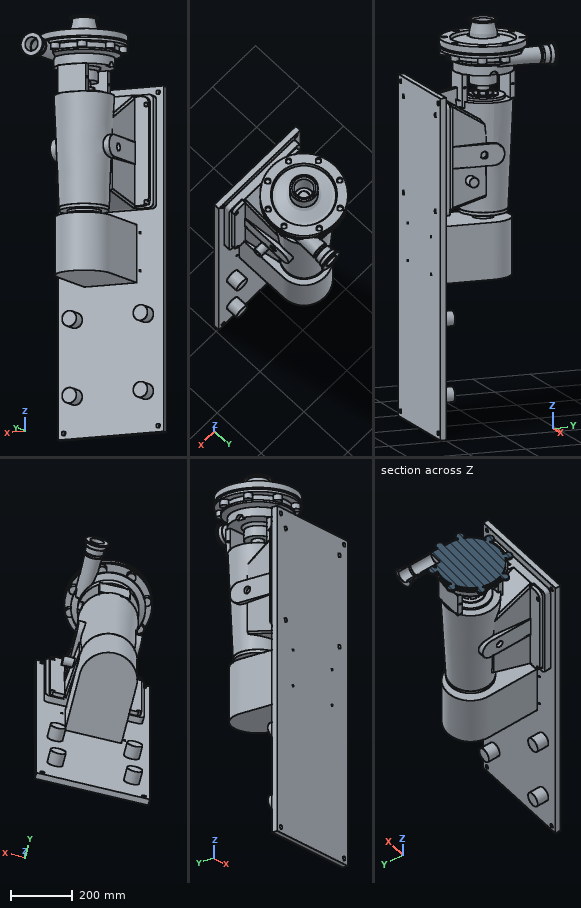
import cadquery as cq
import math


plate_width = 381.0
plate_length = 1143.0
plate_thickness = 22.0
plate_back = -223.0
plate_face = plate_back + plate_thickness
corner_hole_inset = 20.0
corner_hole_radius = 7.0
guard_screw_radius = 3.0
guard_screw_x = 105.0
guard_screw_heights = (538.0, 664.0)
stud_radius = 26.0
stud_length = 45.0
stud_x = 128.0
stud_heights = (137.0, 390.0)

guard_radius = 95.0
guard_bottom = 499.0
guard_top = 690.0

pump_top = 1352.0
cover_top = 1290.0
cover_bottom = 1266.0
casing_flange_top = 1261.0
casing_flange_bottom = 1251.0
casing_bottom = 1231.0
back_ring_bottom = 1225.0
adapter_top = 1215.0
adapter_bottom = 1183.0
seal_box_bottom = 1137.0
hub_top = 1116.0
frame_top = 1090.0
frame_bottom = 711.0
bearing_cover_top = frame_top + 8.0
drive_collar_bottom = frame_bottom - 8.0
frame_flange_top = 733.0
end_cover_top = 722.0

flange_radius = 143.0
flange_gap_radius = 142.0
casing_radius = 115.0
back_ring_radius = 122.0
adapter_radius = 100.0
seal_box_radius = 46.0
seal_box_flare = 8.0
seal_box_flare_height = 11.0
shaft_radius = 22.0
frame_top_radius = 99.0
frame_bottom_radius = 82.0
end_cover_radius = 81.0
bearing_cover_radius = 72.0
seal_ring_radius = 49.0
drive_collar_radius = 55.0
drive_shaft_radius = 35.0

hub_radius = 35.0
hub_bottom = 1103.0
hub_slot_count = 8
hub_slot_width = 8.0
hub_slot_depth = 7.0

inlet_radius = 46.0
inlet_throat_radius = 39.0
inlet_bore_radius = 32.0
inlet_mouth_radius = 39.0
inlet_mouth_depth = 5.0
inlet_rim_thickness = 4.0
inlet_throat_top = pump_top - 7.0
inlet_throat_bottom = pump_top - 14.0
inlet_cone_bottom = pump_top - 42.0
inlet_bore_depth = 88.0
impeller_nut_radius = 19.0
impeller_nut_height = 8.0
neck_flare_radius = 57.0
dish_outer_radius = 108.0
dish_floor_radius = 93.0
dish_depth = 11.0
dish_wall_slope = 4.0
neck_flare_height = 5.0
neck_flare_drop = 1.0

bolt_circle_radius = 127.0
bolt_angles = (13.5, 67.5, 112.5, 157.5, 202.5, 247.5, 292.5, 337.5)
bolt_hole_radius = 10.0
bolt_hole_depth = 11.0
bolt_boss_radius = 15.0

discharge_x = 89.0
discharge_z = 1237.0
discharge_start = 14.0
discharge_taper_start = 116.0
discharge_pipe_end = 160.0
discharge_groove_end = 166.0
discharge_sleeve_start = 170.0
discharge_collar_start = 190.0
discharge_rim_start = 205.0
discharge_end = 211.0
discharge_pipe_radius = 28.0
discharge_pipe_end_radius = 30.0
discharge_groove_radius = 26.0
discharge_sleeve_radius = 31.0
discharge_collar_radius = 34.0
discharge_rim_radius = 39.0
discharge_bore_radius = 23.0
discharge_bore_depth = 135.0

plug_y = -82.0
plug_z = 838.0
plug_radius = 16.0
plug_outer_x = 132.0
plug_length = 47.0

strut_width = 101.0
strut_outer_y = 93.0
strut_thickness = 19.0
strut_extension = 20.0
strut_hole_radius = 3.0
strut_hole_z = 1138.0
adapter_notch_radius = 14.0
adapter_notch_depth = 14.0

foot_width = 330.0
foot_bottom = 739.0
foot_top = 1114.0
foot_upper_face = -178.0
foot_corner_radius = 16.0
pedestal_base_y = -172.0
pedestal_end_y = -25.0
pedestal_upper_end = 1025.0
pedestal_lower_end = 776.0
pedestal_half_width_base = 105.0
pedestal_half_width_axis = 88.0
pedestal_chamfer = 7.0
pad_inner_x = 95.0
pad_outer_x = 154.0
pad_face = -165.0
pad_end_inset = 7.0
pad_corner_radius = 25.0
mount_hole_x = 145.0
mount_hole_heights = (757.0, 1078.0)
mount_hole_radius = 7.0
gusset_thickness = 16.0
gusset_top = 1130.0

lug_outer_x = 107.0
lug_thickness = 27.0
lug_z = 920.0
lug_height = 73.0
lug_tip_y = 34.0
lug_hole_y = -36.0
lug_hole_radius = 12.0


def revolve_about_z(points):
    """Turn a closed (radius, height) outline about the pump axis."""
    return cq.Workplane("XZ").polyline(points).close().revolve(360, (0, 0, 0), (0, 1, 0))


def cylinder_along_y(x, z, radius, start_y, length):
    """Cylinder that starts at start_y and runs towards +Y."""
    return (
        cq.Workplane("XZ", origin=(0, start_y, 0))
        .center(x, z)
        .circle(radius)
        .extrude(-length)
    )


def box_between(x_range, y_range, z_range):
    """Axis-aligned box given by its limits."""
    return cq.Workplane("XY").box(
        x_range[1] - x_range[0],
        y_range[1] - y_range[0],
        z_range[1] - z_range[0],
        centered=False,
    ).translate((x_range[0], y_range[0], z_range[0]))


def make_base():
    """Base plate with the coupling guard and the four studs."""
    half_width = plate_width / 2
    base = box_between((-half_width, half_width), (plate_back, plate_face), (0, plate_length))

    guard = (
        cq.Workplane("XY", origin=(0, 0, guard_bottom))
        .moveTo(-guard_radius, plate_face)
        .lineTo(-guard_radius, 0)
        .threePointArc((0, guard_radius), (guard_radius, 0))
        .lineTo(guard_radius, plate_face)
        .close()
        .extrude(guard_top - guard_bottom)
    )
    base = base.union(guard)

    for side in (-1, 1):
        for height in stud_heights:
            base = base.union(cylinder_along_y(side * stud_x, height, stud_radius, plate_face, stud_length))

    corner_x = half_width - corner_hole_inset
    corner_heights = (corner_hole_inset, plate_length - corner_hole_inset)
    hole_groups = (
        (corner_x, corner_heights, corner_hole_radius),
        (mount_hole_x, mount_hole_heights, mount_hole_radius),
        (guard_screw_x, guard_screw_heights, guard_screw_radius),
    )
    for hole_x, heights, radius in hole_groups:
        for side in (-1, 1):
            for height in heights:
                base = base.cut(cylinder_along_y(side * hole_x, height, radius, plate_back, plate_thickness))
    return base


def make_wet_end():
    """Inlet, dished cover, casing, adapter, seal box and shaft, turned about the axis."""
    dish_floor = cover_top - dish_depth
    return revolve_about_z([
        (0, hub_top),
        (0, pump_top - inlet_bore_depth + impeller_nut_height),
        (impeller_nut_radius, pump_top - inlet_bore_depth + impeller_nut_height),
        (impeller_nut_radius, pump_top - inlet_bore_depth),
        (inlet_bore_radius, pump_top - inlet_bore_depth),
        (inlet_bore_radius, pump_top - inlet_mouth_depth),
        (inlet_mouth_radius, pump_top),
        (inlet_radius, pump_top),
        (inlet_radius, pump_top - inlet_rim_thickness),
        (inlet_throat_radius, inlet_throat_top),
        (inlet_throat_radius, inlet_throat_bottom),
        (inlet_radius, inlet_cone_bottom),
        (inlet_radius, cover_top + neck_flare_height),
        (neck_flare_radius, cover_top - neck_flare_drop),
        (dish_floor_radius, dish_floor),
        (dish_outer_radius - dish_wall_slope, dish_floor),
        (dish_outer_radius, cover_top),
        (flange_radius, cover_top),
        (flange_radius, cover_bottom),
        (flange_gap_radius, cover_bottom),
        (flange_gap_radius, casing_flange_top),
        (flange_radius, casing_flange_top),
        (flange_radius, casing_flange_bottom),
        (casing_radius, casing_flange_bottom),
        (casing_radius, casing_bottom),
        (back_ring_radius, casing_bottom),
        (back_ring_radius, back_ring_bottom),
        (adapter_radius, adapter_top),
        (adapter_radius, adapter_bottom),
        (seal_box_radius + seal_box_flare, adapter_bottom),
        (seal_box_radius, adapter_bottom - seal_box_flare_height),
        (seal_box_radius, seal_box_bottom),
        (shaft_radius, seal_box_bottom),
        (shaft_radius, hub_top),
    ])


def make_bearing_frame():
    """Tapered bearing frame with its stepped end covers."""
    return revolve_about_z([
        (0, guard_top),
        (0, hub_top),
        (hub_radius, hub_top),
        (hub_radius, hub_bottom),
        (seal_ring_radius, hub_bottom),
        (seal_ring_radius, bearing_cover_top),
        (bearing_cover_radius, bearing_cover_top),
        (bearing_cover_radius, frame_top),
        (frame_top_radius, frame_top),
        (frame_bottom_radius, frame_flange_top),
        (frame_bottom_radius, end_cover_top),
        (end_cover_radius, end_cover_top),
        (end_cover_radius, frame_bottom),
        (drive_collar_radius, frame_bottom),
        (drive_collar_radius, drive_collar_bottom),
        (drive_shaft_radius, drive_collar_bottom),
        (drive_shaft_radius, guard_top),
    ])


def make_hub_slot(angle):
    """Slot in the rim of the shaft nut."""
    slot = box_between(
        (hub_radius - hub_slot_depth, hub_radius + hub_slot_depth),
        (-hub_slot_width / 2, hub_slot_width / 2),
        (hub_bottom, hub_top),
    )
    return slot.rotate((0, 0, 0), (0, 0, 1), angle)


def make_discharge():
    """Discharge pipe with its coupling and end flange, turned about a line along +Y."""
    points = [
        (0, discharge_start),
        (discharge_pipe_radius, discharge_start),
        (discharge_pipe_radius, discharge_taper_start),
        (discharge_pipe_end_radius, discharge_pipe_end),
        (discharge_groove_radius, discharge_pipe_end),
        (discharge_groove_radius, discharge_groove_end),
        (discharge_sleeve_radius, discharge_sleeve_start),
        (discharge_sleeve_radius, discharge_collar_start),
        (discharge_collar_radius, discharge_collar_start),
        (discharge_collar_radius, discharge_rim_start),
        (discharge_rim_radius, discharge_rim_start),
        (discharge_rim_radius, discharge_end),
        (0, discharge_end),
    ]
    pipe = cq.Workplane("XY").polyline(points).close().revolve(360, (0, 0, 0), (0, 1, 0))
    return pipe.translate((discharge_x, 0, discharge_z))


def make_bolt_boss(angle):
    """Round nut below the casing flange."""
    x = bolt_circle_radius * math.cos(math.radians(angle))
    y = bolt_circle_radius * math.sin(math.radians(angle))
    return (
        cq.Workplane("XY", origin=(x, y, casing_bottom))
        .circle(bolt_boss_radius)
        .extrude(casing_flange_bottom - casing_bottom)
    )


def make_bolt_hole(angle):
    """Bolt recess in the top of the cover."""
    x = bolt_circle_radius * math.cos(math.radians(angle))
    y = bolt_circle_radius * math.sin(math.radians(angle))
    return (
        cq.Workplane("XY", origin=(x, y, cover_top - bolt_hole_depth))
        .circle(bolt_hole_radius)
        .extrude(bolt_hole_depth)
    )


def make_strut(side):
    """Flat strut, drilled along X, on the +Y (side = 1) or -Y (side = -1) side of the frame."""
    half = strut_width / 2
    y_limits = sorted((side * (strut_outer_y - strut_thickness), side * strut_outer_y))
    strut_foot = frame_top if side > 0 else frame_top - strut_extension
    strut = box_between((-half, half), y_limits, (strut_foot, adapter_bottom))
    hole = (
        cq.Workplane("YZ", origin=(-half, 0, 0))
        .center(side * (strut_outer_y - strut_thickness / 2), strut_hole_z)
        .circle(strut_hole_radius)
        .extrude(strut_width)
    )
    return strut.cut(hole)


def make_pedestal():
    """Drafted pedestal with sloping ends that joins the frame to the foot."""
    section = (
        cq.Workplane("XY", origin=(0, 0, foot_bottom))
        .polyline([
            (-pedestal_half_width_base, pedestal_base_y),
            (pedestal_half_width_base, pedestal_base_y),
            (pedestal_half_width_axis, 0),
            (-pedestal_half_width_axis, 0),
        ])
        .close()
        .extrude(foot_top - foot_bottom)
    )
    side_outline = (
        cq.Workplane("YZ", origin=(-plate_width / 2, 0, 0))
        .polyline([
            (pedestal_base_y, foot_bottom),
            (pedestal_base_y, foot_top),
            (pedestal_end_y, pedestal_upper_end),
            (pedestal_end_y, pedestal_lower_end),
        ])
        .close()
        .extrude(plate_width)
    )
    pedestal = section.intersect(side_outline)
    return pedestal.faces(">X or <X").edges("not |Z").chamfer(pedestal_chamfer)


def make_foot():
    """Mounting slab with a raised pad along each side."""
    half = foot_width / 2
    foot = box_between((-half, half), (plate_face, foot_upper_face), (foot_bottom, foot_top))
    foot = foot.edges("|Y").fillet(foot_corner_radius)
    center = box_between(
        (-pedestal_half_width_base, pedestal_half_width_base),
        (plate_face, pedestal_base_y),
        (foot_bottom, foot_top),
    )
    foot = foot.union(center)
    for side in (-1, 1):
        pad = box_between(
            sorted((side * pad_inner_x, side * pad_outer_x)),
            (plate_face, pad_face),
            (foot_bottom + pad_end_inset, foot_top - pad_end_inset),
        )
        outer_side = "<X" if side < 0 else ">X"
        foot = foot.union(pad.faces(outer_side).edges("|Y").fillet(pad_corner_radius))
    return foot


def make_gusset():
    """Triangular web from the -Y strut down to the foot."""
    return (
        cq.Workplane("YZ", origin=(-gusset_thickness / 2, 0, 0))
        .polyline([
            (-strut_outer_y, frame_top - 2 * strut_extension),
            (-strut_outer_y, gusset_top),
            (pedestal_base_y, foot_top),
            (pedestal_base_y, foot_top - strut_extension),
        ])
        .close()
        .extrude(gusset_thickness)
    )


def make_oil_plug():
    """Round plug that stands out from the +X wall of the pedestal."""
    plane = cq.Workplane("YZ", origin=(plug_outer_x - plug_length, 0, 0))
    return plane.center(plug_y, plug_z).circle(plug_radius).extrude(plug_length)


def make_lug(side):
    """Round-ended lug on the -X (side = -1) or +X (side = 1) wall."""
    radius = lug_height / 2
    inner_x = lug_outer_x - lug_thickness
    start_x = -lug_outer_x if side < 0 else inner_x
    tip_center = lug_tip_y - radius
    plane = cq.Workplane("YZ", origin=(start_x, 0, 0))
    return (
        plane.moveTo(pad_face, lug_z - radius)
        .lineTo(tip_center, lug_z - radius)
        .threePointArc((lug_tip_y, lug_z), (tip_center, lug_z + radius))
        .lineTo(pad_face, lug_z + radius)
        .close()
        .extrude(lug_thickness)
    )


def make_lug_hole(side):
    """Blind hole in the outer face of a lug."""
    depth = lug_thickness / 2
    start_x = -lug_outer_x if side < 0 else lug_outer_x - depth
    plane = cq.Workplane("YZ", origin=(start_x, 0, 0))
    return plane.center(lug_hole_y, lug_z).circle(lug_hole_radius).extrude(depth)


def make_mount_hole(side, height):
    """Bolt hole through the foot, in line with the one in the plate."""
    return cylinder_along_y(side * mount_hole_x, height, mount_hole_radius, plate_face, pad_face - plate_face)


def make_adapter_notch(side):
    """Half-round notch in the lower rim of the adapter, on the X axis."""
    start_x = side * adapter_radius - adapter_notch_depth
    plane = cq.Workplane("YZ", origin=(start_x, 0, adapter_bottom))
    return plane.circle(adapter_notch_radius).extrude(2 * adapter_notch_depth)


def make_discharge_bore():
    """Blind bore in the end of the discharge pipe."""
    start_y = discharge_end - discharge_bore_depth
    return cylinder_along_y(discharge_x, discharge_z, discharge_bore_radius, start_y, discharge_bore_depth)


def make_pump():
    """Complete pump, from inlet flange to drive end, on its foot."""
    pump = make_wet_end().union(make_bearing_frame())
    for index in range(hub_slot_count):
        pump = pump.cut(make_hub_slot(360 * index / hub_slot_count))
    pump = pump.union(make_discharge())
    for angle in bolt_angles:
        pump = pump.union(make_bolt_boss(angle))
        pump = pump.cut(make_bolt_hole(angle))
    for side in (-1, 1):
        pump = pump.union(make_strut(side))
    for part in (make_pedestal(), make_foot(), make_gusset(), make_oil_plug()):
        pump = pump.union(part)
    for side in (-1, 1):
        pump = pump.union(make_lug(side))
        pump = pump.cut(make_lug_hole(side))
        pump = pump.cut(make_adapter_notch(side))
        for height in mount_hole_heights:
            pump = pump.cut(make_mount_hole(side, height))
    return pump.cut(make_discharge_bore())


base = make_base()
pump = make_pump()

result = cq.Compound.makeCompound([base.solids().val(), pump.solids().val()])